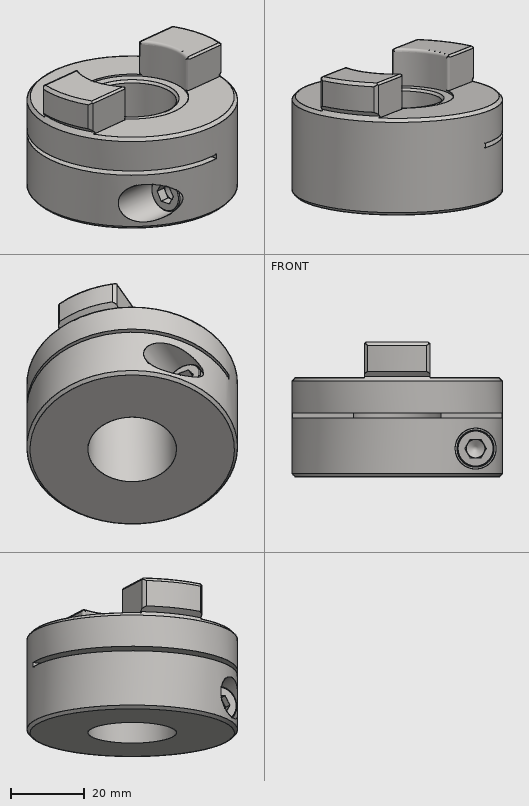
import cadquery as cq
import math

hub_radius = 28.5
hub_height = 26.8
overall_height = 36.5
top_chamfer = 0.9
bottom_chamfer = 0.85
bore_radius = 11.95
bore_chamfer = 0.7
recess_radius = 15.2
recess_depth = 0.5

lug_width = 17.8
lug_side_chamfer = 0.55
lug_corner = 0.6
lug_outer_chamfer = 0.9
lug_inner_fillet = 0.9
groove_depth = 1.3

slit_bottom = 15.95
slit_height = 1.25
slit_end_y = 2.05

screw_x = 21.2
screw_z = 7.65
head_radius = 5.0
head_chamfer = 0.3
head_length = 6.0
head_face_y = -10.85
counterbore_radius = 5.55
shank_radius = 3.0
shank_length = 13.7
hex_across_flats = 5.0
hex_depth = 2.85
hex_cone_angle = 120.0
seat_y = head_face_y + head_length


def screw_cylinder(radius, start_y, length):
    """Cylinder on the clamp screw axis, running toward +Y from start_y."""
    return cq.Workplane("XZ", origin=(screw_x, start_y, screw_z)).circle(radius).extrude(-length)


def make_hub_blank():
    """Revolved hub: bore, recess and a full ring with the radial section of the lugs."""
    chamfer_start_z = hub_height - top_chamfer
    recess_floor = hub_height - recess_depth
    return (
        cq.Workplane("XZ")
        .moveTo(bore_radius, 0)
        .lineTo(hub_radius - bottom_chamfer, 0)
        .lineTo(hub_radius, bottom_chamfer)
        .lineTo(hub_radius, chamfer_start_z)
        .lineTo(hub_radius - groove_depth, chamfer_start_z + groove_depth)
        .lineTo(hub_radius, chamfer_start_z + 2 * groove_depth)
        .lineTo(hub_radius, overall_height - lug_outer_chamfer)
        .lineTo(hub_radius - lug_outer_chamfer, overall_height)
        .lineTo(recess_radius + lug_inner_fillet, overall_height)
        .radiusArc((recess_radius, overall_height - lug_inner_fillet), -lug_inner_fillet)
        .lineTo(recess_radius, recess_floor)
        .lineTo(bore_radius + bore_chamfer, recess_floor)
        .lineTo(bore_radius, recess_floor - bore_chamfer)
        .close()
        .revolve(360, (0, 0, 0), (0, 1, 0))
    )


def make_lug_envelope():
    """Prism that bounds the -Y lug above the hub's top face: sides, corners and top edges."""
    half_width = lug_width / 2
    inner_y = -math.sqrt(recess_radius**2 - half_width**2)
    corner_y = -math.sqrt(hub_radius**2 - half_width**2) + lug_corner
    end_y = -hub_radius - lug_corner
    end_half_width = half_width - (corner_y - end_y)
    plan = (
        cq.Workplane("XY", origin=(0, 0, hub_height))
        .moveTo(-half_width, inner_y)
        .threePointArc((0, -recess_radius), (half_width, inner_y))
        .lineTo(half_width, corner_y)
        .lineTo(end_half_width, end_y)
        .lineTo(-end_half_width, end_y)
        .lineTo(-half_width, corner_y)
        .close()
        .extrude(overall_height - hub_height)
    )
    top_edges = (
        cq.Workplane("XY")
        .box(lug_width, 3 * hub_radius, overall_height, centered=(True, True, False))
        .edges("|Y and >Z")
        .chamfer(lug_side_chamfer)
    )
    return plan.edges("|Z").edges(">Y").fillet(lug_corner).intersect(top_edges)


def make_hub():
    waste = (
        cq.Workplane("XY", origin=(0, 0, hub_height))
        .circle(2 * hub_radius)
        .extrude(overall_height - hub_height)
    )
    lug = make_lug_envelope()
    for angle in (0, 180):
        waste = waste.cut(lug.rotate((0, 0, 0), (0, 0, 1), angle))
    hub = make_hub_blank().cut(waste)

    slit = (
        cq.Workplane("XY", origin=(0, slit_end_y, slit_bottom))
        .box(2 * hub_radius, hub_radius + slit_end_y, slit_height, centered=(True, False, False))
        .translate((0, -hub_radius - slit_end_y, 0))
    )
    hub = hub.cut(slit)

    counterbore = screw_cylinder(counterbore_radius, -hub_radius, hub_radius + seat_y)
    shank_hole = screw_cylinder(shank_radius, seat_y, shank_length)
    return hub.cut(counterbore).cut(shank_hole)


def make_clamp_screw():
    head = screw_cylinder(head_radius, head_face_y, head_length).faces("<Y").chamfer(head_chamfer)
    screw = head.union(screw_cylinder(shank_radius, seat_y, shank_length))

    hex_across_corners = hex_across_flats / math.cos(math.pi / 6)
    socket = (
        cq.Workplane("XZ", origin=(screw_x, head_face_y, screw_z))
        .polygon(6, hex_across_corners)
        .extrude(-hex_depth)
    )
    cone_radius = hex_across_flats / 2
    cone_depth = cone_radius / math.tan(math.radians(hex_cone_angle / 2))
    socket_bottom = cq.Workplane("XY").add(
        cq.Solid.makeCone(
            cone_radius,
            0,
            cone_depth,
            pnt=cq.Vector(screw_x, head_face_y + hex_depth, screw_z),
            dir=cq.Vector(0, 1, 0),
        )
    )
    return screw.cut(socket).cut(socket_bottom)


hub = make_hub()
clamp_screw = make_clamp_screw()
result = cq.Compound.makeCompound([hub.solids().val(), clamp_screw.solids().val()])